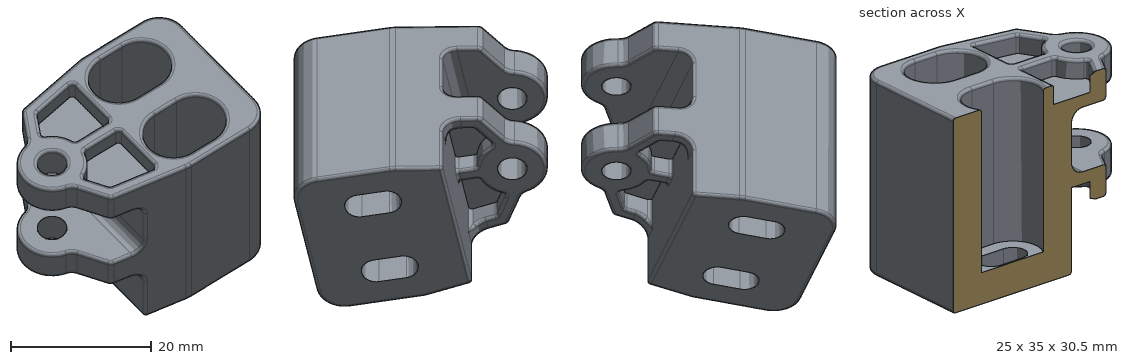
import cadquery as cq
import math

width = 25.0
height = 30.5
back_y = 30.0
shoulder_y = 15.0
taper_angle = 10
nose_angle = 30
nose_x = 5.78
boss_radius = 5.0
corner_radius = 4.0
shoulder_radius = 5.0
cheek_radius = 1.0
neck_radius = 2.0

wall_y = 8.0
arm_thickness = 5.0
arm_gap = 10.0
gap_radius = 2.0
lower_radius = 2.5
pin_diameter = 4.2
edge_round = 0.5

slot_x = 6.35
slot_y = 19.0
slot_travel = 4.0
slot_width = 4.2
bore_width = 8.7
bore_floor = 5.0

rib_thickness = 2.0
rim_thickness = 2.0
pocket_back_y = 11.3
pocket_depth = 3.0
pocket_corner_radius = 0.6

clearance = 3.5
tolerance = 0.05

half_width = width / 2
taper = math.tan(math.radians(taper_angle))
nose_slope = math.tan(math.radians(nose_angle))
upper_arm_bottom = height - arm_thickness
lower_arm_top = upper_arm_bottom - arm_gap
lower_arm_bottom = lower_arm_top - arm_thickness


def side_x(y):
    """X of the tapered side at a given Y."""
    return half_width - taper * (shoulder_y - y)


def pocket_side_x(y):
    """X of a pocket's outer side at a given Y."""
    return side_x(y) - rim_thickness / math.cos(math.radians(taper_angle))


def cheek(inset):
    """Corner of the tapered side and the front edge, both moved inwards by inset."""
    side_shift = inset / math.cos(math.radians(taper_angle))
    nose_shift = inset / math.cos(math.radians(nose_angle))
    y = nose_slope * (side_x(0) - side_shift - nose_x) + nose_shift
    y = y / (1 - nose_slope * taper)
    return side_x(y) - side_shift, y


def nose_y(x, inset):
    """Y of the front edge, moved inwards by inset, at a given X."""
    return nose_slope * (x - nose_x) + inset / math.cos(math.radians(nose_angle))


def upright_edges(solid, x, y):
    """Vertical edges of the solid at (x, y) and at its mirror image (-x, y)."""
    return solid.edges("|Z").filter(
        lambda edge: abs(abs(edge.Center().x) - x) < tolerance and abs(edge.Center().y - y) < tolerance
    )


def make_block():
    cheek_x, cheek_y = cheek(0)
    right = [(half_width, back_y), (half_width, shoulder_y), (cheek_x, cheek_y)]
    left = [(-x, y) for x, y in reversed(right)]
    outline = right + [(0, nose_y(0, 0))] + left
    block = cq.Workplane().polyline(outline).close().extrude(height)
    block = block.union(cq.Workplane().circle(boss_radius).extrude(height))

    block = upright_edges(block, half_width, back_y).fillet(corner_radius)
    block = upright_edges(block, half_width, shoulder_y).fillet(shoulder_radius)
    block = upright_edges(block, cheek_x, cheek_y).fillet(cheek_radius)
    pin_to_edge = nose_x * math.sin(math.radians(nose_angle))
    neck_angle = math.acos(pin_to_edge / boss_radius) - math.radians(90 - nose_angle)
    neck_x = boss_radius * math.cos(neck_angle)
    neck_y = boss_radius * math.sin(neck_angle)
    return upright_edges(block, neck_x, neck_y).fillet(neck_radius)


def front_space(bottom, top):
    """Full-width space in front of the wall."""
    depth = wall_y + boss_radius + clearance
    space = cq.Workplane().box(width + 2 * clearance, depth, top - bottom, centered=(True, False, False))
    return space.translate((0, wall_y - depth, bottom))


def cut_arms(block):
    gap = front_space(lower_arm_top, upper_arm_bottom).edges("|X and >Y").fillet(gap_radius)
    below = front_space(-clearance, lower_arm_bottom).edges("|X and >Y and >Z").fillet(lower_radius)
    return block.cut(gap).cut(below)


def round_outer_edges(block):
    edges = upright_edges(block, side_x(wall_y), wall_y).add(block.faces("<Z or >Z").edges())
    return edges.fillet(edge_round)


def slot_cutter(slot_size, bottom):
    """Both slots of one size, from the bottom level up through the top."""
    return (
        cq.Workplane(origin=(0, slot_y, bottom))
        .pushPoints([(-slot_x, 0), (slot_x, 0)])
        .slot2D(slot_travel + slot_size, slot_size, 90)
        .extrude(height - bottom)
    )


def make_pocket(bottom, top):
    """Pocket space on the +X side of the rib."""
    rib_x = rib_thickness / 2
    corner_x, corner_y = cheek(rim_thickness)
    outline = [
        (rib_x, pocket_back_y),
        (pocket_side_x(pocket_back_y), pocket_back_y),
        (corner_x, corner_y),
        (rib_x, nose_y(rib_x, rim_thickness)),
    ]
    space = cq.Workplane(origin=(0, 0, bottom)).polyline(outline).close().extrude(top - bottom)
    boss = cq.Workplane(origin=(0, 0, bottom)).circle(boss_radius).extrude(top - bottom)
    return space.cut(boss).edges("|Z").fillet(pocket_corner_radius)


def both_sides(solid):
    """The solid together with its mirror image across X = 0."""
    return solid.union(solid.mirror("YZ"))


def on_wall(edge):
    """True for an edge that lies in the plane of the wall."""
    box = edge.BoundingBox()
    return abs(box.ymin - wall_y) < tolerance and abs(box.ymax - wall_y) < tolerance


def on_pocket_mouth(edge):
    """True for an edge of the lower pockets' mouth, on the arm or on the fillet behind it."""
    box = edge.BoundingBox()
    fillet_bottom = lower_arm_bottom - lower_radius
    in_height = box.zmin > fillet_bottom - tolerance and box.zmax < lower_arm_bottom + tolerance
    in_width = max(-box.xmin, box.xmax) < pocket_side_x(wall_y) + tolerance
    outside_pin = math.hypot(edge.startPoint().x, edge.startPoint().y) > pin_diameter / 2 + tolerance
    return in_height and in_width and box.ymin > 0 and outside_pin and not on_wall(edge)


def on_rib_root(edge):
    """True for an edge where the lower arm's rib meets the wall."""
    middle = edge.Center()
    on_rib_face = abs(middle.x) < tolerance and abs(middle.z - lower_arm_bottom) < tolerance
    return on_wall(edge) and on_rib_face


def cut_top_pockets(block):
    return block.cut(both_sides(make_pocket(height - pocket_depth, height)))


def cut_lower_pockets(block):
    """Pockets under the lower arm that stop at the wall and interrupt the fillet there."""
    bottom = lower_arm_bottom - lower_radius
    pockets = both_sides(make_pocket(bottom, lower_arm_bottom + pocket_depth))
    pockets = pockets.intersect(front_space(0, height))
    pockets = upright_edges(pockets, pocket_side_x(wall_y), wall_y).fillet(edge_round)
    rib_relief = cq.Workplane().box(rib_thickness, lower_radius, lower_radius, centered=(True, False, False))
    pockets = pockets.union(rib_relief.translate((0, wall_y - lower_radius, bottom)))

    block = block.cut(pockets)
    block = block.edges().filter(on_pocket_mouth).fillet(edge_round)
    return block.edges().filter(on_rib_root).fillet(edge_round)


def cut_screw_slots(block):
    return block.cut(slot_cutter(slot_width, 0)).cut(slot_cutter(bore_width, bore_floor))


def cut_pin_hole(block):
    return block.cut(cq.Workplane().circle(pin_diameter / 2).extrude(height))


def round_top_openings(block):
    """Round the rims of the bores, the pockets and the pin hole in the top face."""
    rims = [edge for wire in block.faces(">Z").val().innerWires() for edge in wire.Edges()]
    return block.newObject(rims).fillet(edge_round)


block = cut_arms(make_block())
block = round_outer_edges(block)
block = cut_screw_slots(block)
block = cut_pin_hole(block)
block = cut_top_pockets(block)
block = round_top_openings(block)
result = cut_lower_pockets(block)